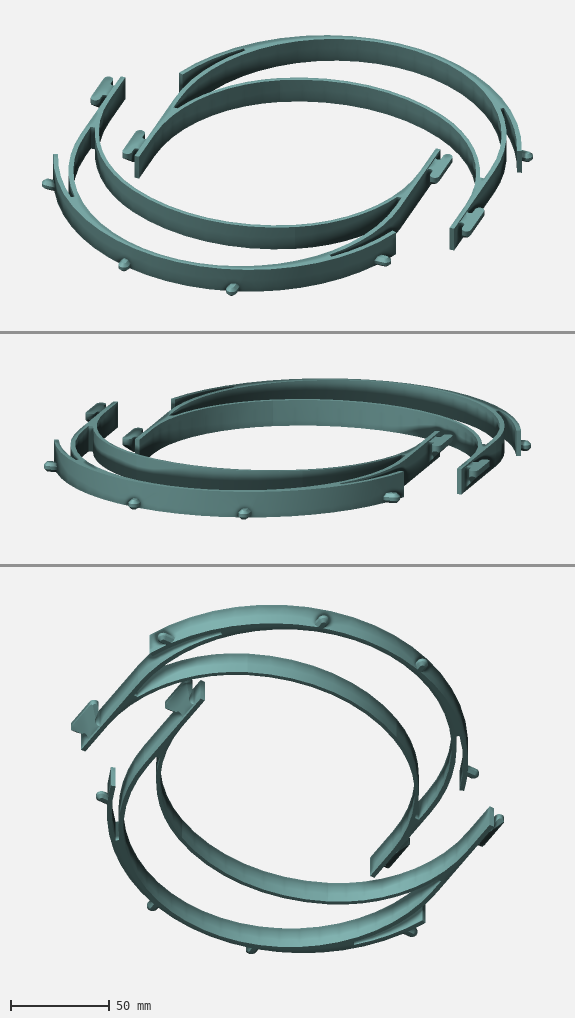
import cadquery as cq
import math

height = 13.5
total_width = 223.5
reach = 95.5
offset_x = total_width / 2 - reach

inner_radius = 85.0
wall = 2.5
outer_radius = inner_radius + wall
ring_y = 23.6
leg_end_y = -31.5

visor_radius = 100.0
visor_y = ring_y + outer_radius - visor_radius
visor_end_angle = 20.0
slit_end_angle = 43.0

forehead_wall = 2.0
forehead_crown_y = 68.9
crown_radius = 95.2
side_radius = 76.5
crown_centre_y = forehead_crown_y - crown_radius
side_centre_x = inner_radius - side_radius
side_centre_y = crown_centre_y + math.sqrt((crown_radius - side_radius) ** 2 - side_centre_x ** 2)
web_top_y = 15.8

hook_y = -19.1
hook_top = 12.5
hook_face_bottom = 9.7
hook_length = 22.5
hook_head = 5.0
hook_stem = 9.2

peg_width = 5.6
peg_height = 5.0
peg_chamfer = 1.5
peg_tip_y = 112.5
peg_length = 9.0
crown_peg_x = 29.5
side_peg_y = 56.5


def disk(radius, y):
    return cq.Workplane("XY").center(0, y).circle(radius).extrude(height)


def block(x_min, x_max, y_min, y_max):
    size = (x_max - x_min, y_max - y_min, height)
    return cq.Workplane("XY").box(*size, centered=False).translate((x_min, y_min, 0))


def both_sides(right_half):
    return right_half.union(right_half.mirror("YZ"))


def fan(angle):
    """Region above the two rays that leave the visor centre at the given angle from +X and -X."""
    far = 2 * visor_radius
    x = far * math.cos(math.radians(angle))
    y = far * math.sin(math.radians(angle))
    return (
        cq.Workplane("XY").center(0, visor_y)
        .polyline([(0, 0), (x, y), (x, far), (-x, far), (-x, y)]).close().extrude(height)
    )


def make_headband():
    ring = disk(outer_radius, ring_y).cut(disk(inner_radius, ring_y))
    half_ring = ring.intersect(block(-reach, reach, ring_y, ring_y + outer_radius))
    leg = block(inner_radius, outer_radius, leg_end_y, ring_y)
    return half_ring.union(both_sides(leg))


def make_visor_band():
    band = disk(visor_radius, visor_y).cut(disk(visor_radius - wall, visor_y))
    joint = disk(visor_radius, visor_y).cut(disk(inner_radius, ring_y))
    return band.intersect(fan(visor_end_angle)).union(joint.intersect(fan(slit_end_angle)))


def forehead_arch(growth):
    """Solid arch whose outline is the forehead band's inner face, grown outwards."""
    seam_angle = math.atan2(side_centre_y - crown_centre_y, side_centre_x)
    radius = side_radius + growth

    def side_point(angle):
        return side_centre_x + radius * math.cos(angle), side_centre_y + radius * math.sin(angle)

    foot_x, foot_y = side_point(0)
    middle_x, middle_y = side_point(seam_angle / 2)
    seam_x, seam_y = side_point(seam_angle)
    return (
        cq.Workplane("XY").moveTo(foot_x, foot_y)
        .threePointArc((middle_x, middle_y), (seam_x, seam_y))
        .threePointArc((0, forehead_crown_y + growth), (-seam_x, seam_y))
        .threePointArc((-middle_x, middle_y), (-foot_x, foot_y))
        .close().extrude(height)
    )


def make_forehead_band():
    outside = forehead_arch(forehead_wall)
    band = outside.cut(forehead_arch(0))
    web = both_sides(block(0, inner_radius, side_centre_y, web_top_y)).cut(outside)
    return band.union(web)


def make_hook():
    """T-shaped hook on the right leg, with 45 degree undersides."""
    neck = reach - hook_head - outer_radius
    notch_radius = neck / 2
    root = hook_stem / 2 + notch_radius
    half_length = hook_length / 2
    head = (
        cq.Workplane("XY").center(reach - hook_head / 2, hook_y)
        .slot2D(hook_length, hook_head, 90).extrude(height)
    )
    stem = block(outer_radius, reach - hook_head / 2, hook_y - root, hook_y + root)
    notches = (
        cq.Workplane("XY").pushPoints([(outer_radius + notch_radius, hook_y + root),
                                       (outer_radius + notch_radius, hook_y - root)])
        .circle(notch_radius).extrude(height)
    )
    side_drop = half_length - root
    end_profile = (
        cq.Workplane("YZ").center(hook_y, 0)
        .polyline([(-half_length, hook_top), (-half_length, hook_face_bottom),
                   (-root, hook_face_bottom - side_drop), (-root, 0),
                   (root, 0), (root, hook_face_bottom - side_drop),
                   (half_length, hook_face_bottom), (half_length, hook_top)])
        .close().extrude(reach)
    )
    front_drop = reach - outer_radius
    side_profile = (
        cq.Workplane("XZ").workplane(offset=-hook_y - half_length)
        .polyline([(outer_radius, hook_top), (reach, hook_top), (reach, hook_face_bottom),
                   (outer_radius, hook_face_bottom - front_drop)])
        .close().extrude(hook_length)
    )
    return head.union(stem.cut(notches)).intersect(end_profile).intersect(side_profile)


def make_peg(x, y, direction):
    """Round-tipped peg with bevelled edges, from its tip at (x, y) back into the visor band."""
    peg = (
        cq.Workplane("XY").center(-peg_length, 0)
        .slot2D(2 * peg_length, peg_width).extrude(peg_height)
        .faces("<Z or >Z").chamfer(peg_chamfer)
    )
    peg = peg.rotate((0, 0, 0), (0, 0, 1), direction).translate((x, y, 0))
    return peg.cut(disk(visor_radius - wall / 2, visor_y))


def make_frame():
    frame = make_headband().union(make_visor_band()).union(make_forehead_band())
    crown_peg = make_peg(crown_peg_x, peg_tip_y, 90)
    side_peg = make_peg(reach, side_peg_y, 0)
    for attachment in (make_hook(), crown_peg, side_peg):
        frame = frame.union(both_sides(attachment))
    return frame.translate((offset_x, 0, 0))


frames = []
for turn in (0, 180):
    frames.append(make_frame().rotate((0, 0, 0), (0, 0, 1), turn))

result = cq.Compound.makeCompound([frame.val() for frame in frames])